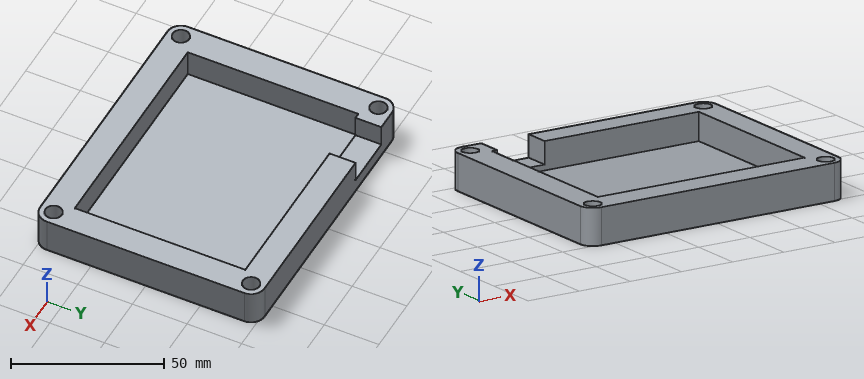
import cadquery as cq

length = 101.0
width = 82.2
height = 13.0
corner_radius = 4.9
hole_diameter = 6.0

pocket_length = 80.8
pocket_width = 62.4
pocket_left_wall = 10.5
pocket_back_wall = 9.5
pocket_depth = 10.0

notch_length = 18.5
notch_left_offset = 12.5
notch_depth = 8.0

left = -length / 2
back = width / 2


def cut_from_top(x_min, y_max, size_x, size_y, depth):
    """Box reaching down from the top face, placed by its left back corner."""
    return cq.Workplane("XY").box(size_x, size_y, depth, centered=False).translate(
        (x_min, y_max - size_y, height - depth)
    )


body = cq.Workplane("XY").box(length, width, height, centered=(True, True, False))
body = body.edges("|Z").fillet(corner_radius)

body = (
    body.faces(">Z")
    .workplane()
    .rect(length - 2 * corner_radius, width - 2 * corner_radius, forConstruction=True)
    .vertices()
    .hole(hole_diameter)
)

pocket = cut_from_top(
    left + pocket_left_wall, back - pocket_back_wall, pocket_length, pocket_width, pocket_depth
)
notch = cut_from_top(left + notch_left_offset, back, notch_length, pocket_back_wall, notch_depth)

result = body.cut(pocket).cut(notch)